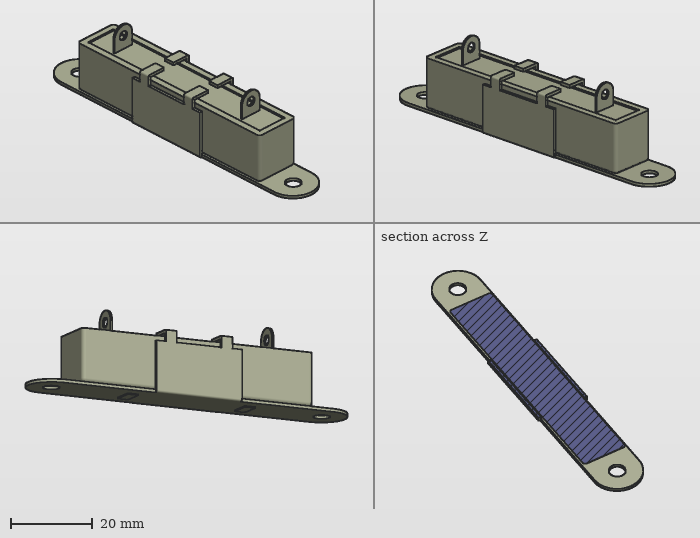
import cadquery as cq

length = 86.5
strip_width = 12.9
sheet = 0.82
strip_hole_diameter = 4.15
strip_hole_x = 36.9

housing_length = 63.0
housing_width = 12.45
housing_top = 14.4
housing_corner_radius = 0.95
housing_bottom_radius = 0.95
rim_width_x = 1.8
rim_width_y = 1.9
recess_depth = 0.4

clip_length = 23.35
clip_width = housing_width + 2 * sheet
clip_shoulder = 13.0
clip_top = 16.0
clip_bend_radius = 0.5
tab_width = 2.9
tab_x = 7.6
tab_gap = 3.3

lug_x = 22.1
lug_width = 6.05
lug_thickness = 0.5
lug_top = 20.8
lug_hole_diameter = 2.5

pad_x = 16.0
pad_length = 2.85
pad_width = 5.6
pad_height = 0.3


def box_from(size_x, size_y, z_low, z_high):
    """Box centred on the Z axis between two heights."""
    block = cq.Workplane("XY").box(size_x, size_y, z_high - z_low, centered=(True, True, False))
    return block.translate((0, 0, z_low))


def make_strip():
    strip = cq.Workplane("XY").slot2D(length, strip_width).extrude(sheet)
    holes = cq.Workplane("XY").pushPoints([(-strip_hole_x, 0), (strip_hole_x, 0)])
    return strip.cut(holes.circle(strip_hole_diameter / 2).extrude(sheet))


def make_housing():
    housing = box_from(housing_length, housing_width, sheet, housing_top)
    housing = housing.edges("|Z").fillet(housing_corner_radius)
    housing = housing.faces("<Z").edges().fillet(housing_bottom_radius)
    recess = box_from(
        housing_length - 2 * rim_width_x,
        housing_width - 2 * rim_width_y,
        housing_top - recess_depth,
        housing_top,
    )
    return housing.cut(recess)


def make_clips():
    """Both clip walls and their tabs, cut from one bent channel."""
    outer = box_from(clip_length, clip_width, 0, clip_top)
    outer = outer.edges("|X").fillet(clip_bend_radius)
    inside = box_from(clip_length, housing_width, sheet, clip_top - sheet)
    channel = outer.cut(inside)

    kept = box_from(clip_length, clip_width, 0, clip_shoulder)
    for x in (-tab_x, tab_x):
        kept = kept.union(box_from(tab_width, clip_width, 0, clip_top).translate((x, 0, 0)))
    gap = box_from(clip_length, tab_gap, clip_shoulder, clip_top)
    return channel.intersect(kept).cut(gap)


def make_lug(x):
    lug_radius = lug_width / 2
    lug_centre = lug_top - lug_radius
    floor = housing_top - recess_depth
    plane = cq.Workplane("YZ", origin=(x - lug_thickness / 2, 0, 0))
    lug = (
        plane.moveTo(-lug_radius, floor)
        .lineTo(lug_radius, floor)
        .lineTo(lug_radius, lug_centre)
        .threePointArc((0, lug_top), (-lug_radius, lug_centre))
        .close()
        .extrude(lug_thickness)
    )
    hole = plane.center(0, lug_centre).circle(lug_hole_diameter / 2).extrude(lug_thickness)
    return lug.cut(hole)


result = make_strip().union(make_housing()).union(make_clips())
for side in (-1, 1):
    result = result.union(make_lug(side * lug_x))
    pad = box_from(pad_length, pad_width, -pad_height, 0)
    result = result.union(pad.translate((side * pad_x, 0, 0)))